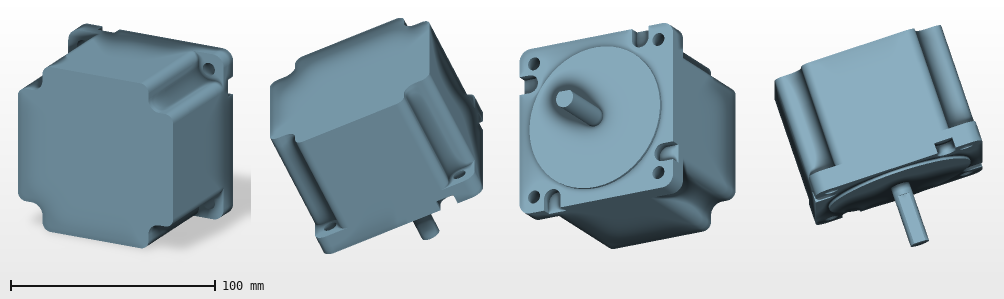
import cadquery as cq
import math


overall_length = 95.0
rear_cap_length = 17.1
stack_length = 28.9
front_cap_length = 17.1
flange_thickness = 10.1
pilot_height = 1.5
flat_length = 25.0

side = 86.0
half_side = side / 2
flange_corner_radius = 6.0

corner_count = 4
relief_size = 13.7
relief_inner_radius = 5.9
relief_lip_radius = 4.5

hole_spacing = 69.6
hole_diameter = 6.65
pilot_diameter = 73.1
shaft_diameter = 9.5
flat_depth = 0.95

recess_count = 4
recess_width = 9.3
recess_depth = 5.3
recess_offset = 24.6
recess_straight = 5.7

stack_start = rear_cap_length
front_cap_start = stack_start + stack_length
flange_front = front_cap_start + front_cap_length
flange_start = flange_front - flange_thickness
pilot_front = flange_front + pilot_height
shaft_end = overall_length


def plane_at(y):
    """Sketch plane across the shaft at y: local x is +X, local y is +Z, the normal is -Y."""
    return cq.Workplane("XZ", origin=(0, y, 0))


def square_bar(start, end):
    """Square block around the shaft axis from start to end."""
    return plane_at(start).rect(side, side).extrude(start - end)


def disc(diameter, start, end):
    """Cylinder on the shaft axis from start to end."""
    return plane_at(start).circle(diameter / 2).extrude(start - end)


def relieved_section(start, end):
    """Length of motor body with a rounded relief along each of its four corners."""
    body = square_bar(start, end)
    relief = make_relief(start, end)
    for corner in range(corner_count):
        body = body.cut(relief.rotate((0, 0, 0), (0, 1, 0), corner * 360 / corner_count))
    return body


def make_relief(start, end):
    """Cutter for the +X +Z corner: square with a rounded inside and flared ends."""
    wall = half_side - relief_size
    lip_inner = half_side - relief_lip_radius
    lip_end = wall - relief_lip_radius
    arc_start = wall + relief_inner_radius
    lip_mid = relief_lip_radius * math.sqrt(0.5)
    inner_mid = arc_start - relief_inner_radius * math.sqrt(0.5)
    return (
        plane_at(start)
        .moveTo(lip_end, half_side)
        .threePointArc((lip_end + lip_mid, lip_inner + lip_mid), (wall, lip_inner))
        .lineTo(wall, arc_start)
        .threePointArc((inner_mid, inner_mid), (arc_start, wall))
        .lineTo(lip_inner, wall)
        .threePointArc((lip_inner + lip_mid, lip_end + lip_mid), (half_side, lip_end))
        .lineTo(half_side, half_side)
        .close()
        .extrude(start - end)
    )


def make_recess():
    """Round-ended slot cutter opening onto the +Z side and the flange front."""
    end_center = half_side - recess_straight
    channel = (
        plane_at(flange_front)
        .center(-recess_offset, end_center + recess_straight / 2)
        .rect(recess_width, recess_straight)
        .extrude(recess_depth)
    )
    round_end = (
        plane_at(flange_front)
        .center(-recess_offset, end_center)
        .circle(recess_width / 2)
        .extrude(recess_depth)
    )
    return channel.union(round_end)


def make_flange():
    """Square mounting flange with rounded corners, four holes and four edge recesses."""
    flange = square_bar(flange_start, flange_front).edges("|Y").fillet(flange_corner_radius)
    holes = (
        plane_at(flange_start)
        .rect(hole_spacing, hole_spacing, forConstruction=True)
        .vertices()
        .circle(hole_diameter / 2)
        .extrude(-flange_thickness)
    )
    flange = flange.cut(holes)
    recess = make_recess()
    for index in range(recess_count):
        angle = index * 360 / recess_count
        flange = flange.cut(recess.rotate((0, 0, 0), (0, 1, 0), angle))
    return flange


def make_shaft():
    """Output shaft with a flat on its +Z side, running to the free end."""
    shaft = disc(shaft_diameter, pilot_front, shaft_end)
    flat_cutter = (
        plane_at(shaft_end)
        .center(0, shaft_diameter / 2 - flat_depth / 2)
        .rect(shaft_diameter, flat_depth)
        .extrude(flat_length)
    )
    return shaft.cut(flat_cutter)


def make_front_cap():
    """Front end cap: relieved body, mounting flange, pilot boss and output shaft."""
    pilot = disc(pilot_diameter, flange_front, pilot_front)
    cap_body = relieved_section(front_cap_start, flange_start)
    return cap_body.union(make_flange()).union(pilot).union(make_shaft())


rear_cap = relieved_section(0, stack_start)
stator_stack = relieved_section(stack_start, front_cap_start)
front_cap = make_front_cap()

result = cq.Compound.makeCompound([rear_cap.val(), stator_stack.val(), front_cap.val()])